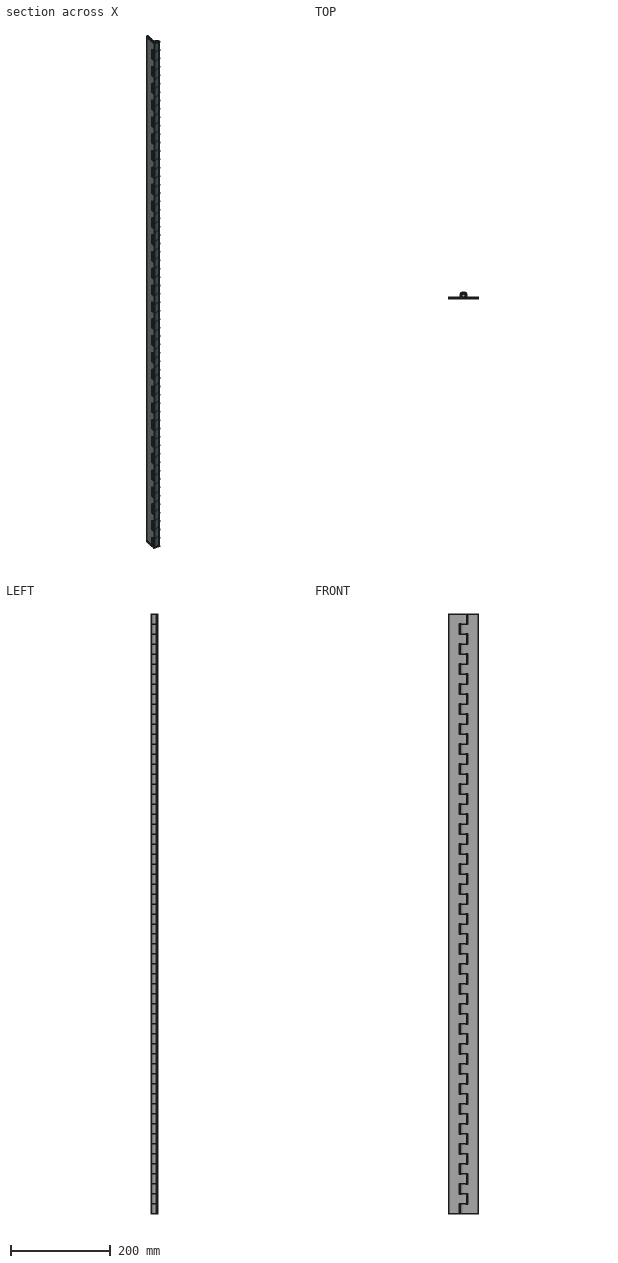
import cadquery as cq

hinge_length = 1200.0
hinge_width = 60.0
barrel_diameter = 13.0
sheet_thickness = 3.0
notch_clearance = 1.0
knuckles_per_leaf = 30

barrel_radius = barrel_diameter / 2
pin_radius = barrel_radius - sheet_thickness
half_width = hinge_width / 2
notch_depth = barrel_radius + notch_clearance
knuckle_length = hinge_length / (2 * knuckles_per_leaf)
knuckle_pitch = 2 * knuckle_length


def make_sheet(side, inner, outer, length):
    """Flat sheet between two distances from the pin axis, tangent to the front of the barrel."""
    width = outer - inner
    sheet = cq.Workplane("XY").box(width, sheet_thickness, length, centered=(True, False, False))
    return sheet.translate((side * (inner + outer) / 2, -barrel_radius, 0))


def make_knuckle(side, bottom):
    """One loop around the pin axis with the flat tab that joins it to the leaf on that side."""
    loop = cq.Workplane("XY").circle(barrel_radius).extrude(knuckle_length)
    tab = make_sheet(side, 0, notch_depth, knuckle_length)
    bore = cq.Workplane("XY").circle(pin_radius).extrude(knuckle_length)
    return loop.union(tab).cut(bore).translate((0, 0, bottom))


def make_leaf(side, first_bottom):
    """Flat strip along the whole hinge with evenly spaced knuckles; the spaces between are notches."""
    leaf = make_sheet(side, notch_depth, half_width, hinge_length)
    for index in range(knuckles_per_leaf):
        leaf = leaf.union(make_knuckle(side, first_bottom + index * knuckle_pitch))
    return leaf.solids()


def make_pin():
    """Straight pin that fills the bores of all the knuckles."""
    return cq.Workplane("XY").circle(pin_radius).extrude(hinge_length)


right_leaf = make_leaf(side=1, first_bottom=0)
left_leaf = make_leaf(side=-1, first_bottom=knuckle_length)
pin = make_pin()

result = cq.Compound.makeCompound([left_leaf.val(), right_leaf.val(), pin.val()])